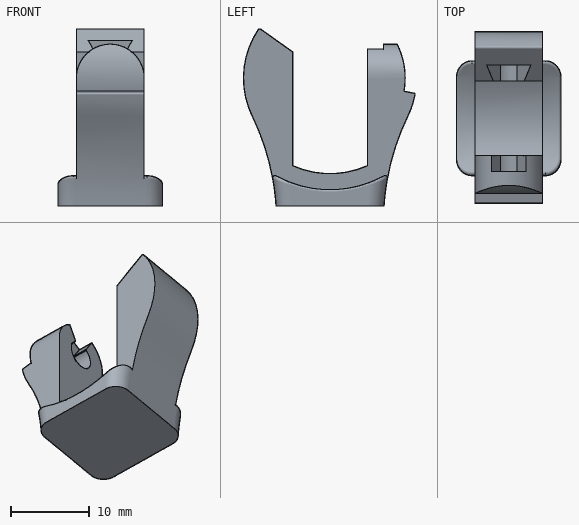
import cadquery as cq
import math

clip_width = 8.6
slot_width = 9.44
slot_floor_z = 4.12
slot_floor_radius = 11.57

pin_z = 16.22
flank_radius = 10.985
flank_blend_z = 11.42
lower_flank_radius = 30.8

tip_y = 8.97
slope_foot_z = 19.54
tip_fillet = 0.25

short_arm_radius = 9.53
short_arm_top_radius = clip_width / 2
catch_root_z = 14.56
catch_tip_z = 14.29
catch_fillet = 0.2

pocket_depth = 2.05
pin_radius = 1.9
neck_width = 2.14
mouth_angle = 30.0
mouth_start_z = 18.0

base_width = 13.3
base_corner_radius = 2.0
base_top_low_z = 2.07
base_dish_radius = 14.1
base_top_fillet = 0.32

slot_half = slot_width / 2
slot_floor_centre_z = slot_floor_z + slot_floor_radius
slot_corner_z = slot_floor_centre_z - math.sqrt(slot_floor_radius**2 - slot_half**2)

blend_y = math.sqrt(flank_radius**2 - (pin_z - flank_blend_z) ** 2)
centre_ratio = (flank_radius + lower_flank_radius) / flank_radius
lower_centre_y = blend_y * centre_ratio
lower_centre_z = pin_z + (flank_blend_z - pin_z) * centre_ratio


def upper_flank_y(z, radius=flank_radius):
    """Distance of the convex flank arc from the middle plane at height z."""
    return math.sqrt(radius**2 - (z - pin_z) ** 2)


def lower_flank_y(z):
    """Distance of the concave flank arc from the middle plane at height z."""
    return lower_centre_y - math.sqrt(lower_flank_radius**2 - (z - lower_centre_z) ** 2)


tip_z = pin_z + math.sqrt(flank_radius**2 - tip_y**2)
foot_y = lower_flank_y(0)
lower_middle_z = flank_blend_z / 2
lower_middle_y = lower_flank_y(lower_middle_z)


def extrude_across(profile, width):
    """Extrude a YZ profile symmetrically about X = 0."""
    return profile.extrude(width / 2, both=True)


def make_tall_arm_side():
    """Half of the fork on the +Y side, up to the sloping tip."""
    side = extrude_across(
        cq.Workplane("YZ")
        .moveTo(0, 0)
        .lineTo(foot_y, 0)
        .threePointArc((lower_middle_y, lower_middle_z), (blend_y, flank_blend_z))
        .threePointArc((flank_radius, pin_z), (tip_y, tip_z))
        .lineTo(slot_half, slope_foot_z)
        .lineTo(0, slope_foot_z)
        .close(),
        clip_width,
    )
    tip_edge = cq.selectors.NearestToPointSelector((0, tip_y, tip_z))
    return side.edges(tip_edge).fillet(tip_fillet)


def make_short_arm_side():
    """Half of the fork on the -Y side, with the catch and the rounded top."""
    top_z = pin_z + short_arm_top_radius
    root_y = upper_flank_y(catch_root_z, short_arm_radius)
    catch_flank_y = upper_flank_y(catch_tip_z)
    catch_middle_z = (flank_blend_z + catch_tip_z) / 2
    side = extrude_across(
        cq.Workplane("YZ")
        .moveTo(0, 0)
        .lineTo(0, top_z)
        .lineTo(-upper_flank_y(top_z, short_arm_radius), top_z)
        .threePointArc((-short_arm_radius, pin_z), (-root_y, catch_root_z))
        .lineTo(-catch_flank_y, catch_tip_z)
        .threePointArc((-upper_flank_y(catch_middle_z), catch_middle_z), (-blend_y, flank_blend_z))
        .threePointArc((-lower_middle_y, lower_middle_z), (-foot_y, 0))
        .close(),
        clip_width,
    )
    catch_edge = cq.selectors.NearestToPointSelector((0, -catch_flank_y, catch_tip_z))
    side = side.edges(catch_edge).fillet(catch_fillet)
    round_top = (
        cq.Workplane("XZ")
        .moveTo(-clip_width / 2, 0)
        .lineTo(clip_width / 2, 0)
        .lineTo(clip_width / 2, pin_z)
        .threePointArc((0, top_z), (-clip_width / 2, pin_z))
        .close()
        .extrude(flank_radius)
    )
    return side.intersect(round_top)


def make_slot():
    """Slot between the arms, with a concave floor."""
    return extrude_across(
        cq.Workplane("YZ")
        .moveTo(-slot_half, slot_corner_z)
        .threePointArc((0, slot_floor_z), (slot_half, slot_corner_z))
        .lineTo(slot_half, tip_z)
        .lineTo(-slot_half, tip_z)
        .close(),
        clip_width,
    )


def make_pin_pockets():
    """Keyhole pockets sunk into both inner faces, as one body spanning the slot."""
    neck_half = neck_width / 2
    mouth_half = neck_half + (tip_z - mouth_start_z) * math.tan(math.radians(mouth_angle))
    reach = slot_half + pocket_depth
    mouth = (
        cq.Workplane("XZ")
        .moveTo(-neck_half, pin_z)
        .lineTo(neck_half, pin_z)
        .lineTo(neck_half, mouth_start_z)
        .lineTo(mouth_half, tip_z)
        .lineTo(-mouth_half, tip_z)
        .lineTo(-neck_half, mouth_start_z)
        .close()
        .extrude(reach, both=True)
    )
    hole = cq.Workplane("XZ").center(0, pin_z).circle(pin_radius).extrude(reach, both=True)
    return mouth.union(hole)


def make_base():
    """Foot with flank-shaped ends, rounded corners and a dished, filleted top."""
    block = extrude_across(
        cq.Workplane("YZ")
        .moveTo(-foot_y, 0)
        .lineTo(foot_y, 0)
        .threePointArc((lower_middle_y, lower_middle_z), (blend_y, flank_blend_z))
        .lineTo(-blend_y, flank_blend_z)
        .threePointArc((-lower_middle_y, lower_middle_z), (-foot_y, 0))
        .close(),
        base_width,
    )
    corner_edges = block.edges("<X or >X").edges("not #Z").edges("not |Y")
    block = corner_edges.fillet(base_corner_radius)
    dish = extrude_across(
        cq.Workplane("YZ").center(0, base_top_low_z + base_dish_radius).circle(base_dish_radius),
        base_width,
    )
    block = block.cut(dish)
    dish_bottom = cq.selectors.NearestToPointSelector((0, 0, base_top_low_z))
    return block.faces(dish_bottom).edges().fillet(base_top_fillet)


fork = make_tall_arm_side().union(make_short_arm_side())
fork = fork.cut(make_slot()).cut(make_pin_pockets())
result = fork.union(make_base())